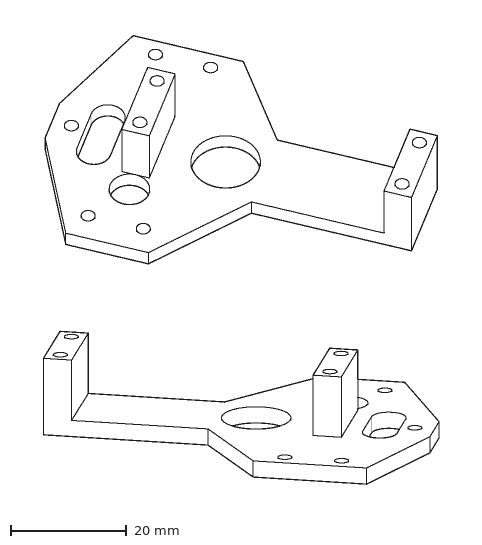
import cadquery as cq

length = 67.5
height = 14.0
plate_thickness = 3.0

upper_edge_y = 23.0
upper_edge_start_x = 7.5
upper_edge_end_x = 27.5
lower_edge_y = -23.95
lower_edge_start_x = 10.0
lower_edge_end_x = 25.0
blunt_end_upper_y = 4.25
blunt_end_lower_y = -4.05
arm_start_x = 38.5
arm_width = 15.0

post_thickness = 5.0
plate_post_x = 17.5
tip_post_x = length - post_thickness / 2

screw_diameter = 2.4
post_screw_spacing = 10.0
edge_screw_xs = (12.5, 22.5)
upper_screw_y = 20.0
lower_screw_y = -19.0
end_screw_x = 3.5

main_bore_diameter = 12.0
main_bore_x = 31.45
side_bore_diameter = 7.0
side_bore_y = -11.0
slot_x = 9.0
slot_width = 6.0
slot_upper_y = 6.6
slot_lower_y = -arm_width / 2


def make_plate():
    """Flat faceted plate with its narrow arm."""
    outline = [
        (0, blunt_end_lower_y),
        (lower_edge_start_x, lower_edge_y),
        (lower_edge_end_x, lower_edge_y),
        (arm_start_x, -arm_width / 2),
        (length, -arm_width / 2),
        (length, arm_width / 2),
        (arm_start_x, arm_width / 2),
        (upper_edge_end_x, upper_edge_y),
        (upper_edge_start_x, upper_edge_y),
        (0, blunt_end_upper_y),
    ]
    return cq.Workplane("XY").polyline(outline).close().extrude(plate_thickness)


def make_post(center_x):
    """Rectangular post rising from the plate underside to full height."""
    return cq.Workplane("XY").center(center_x, 0).rect(post_thickness, arm_width).extrude(height)


def make_hole_cutters(centers, diameter):
    """Cylinders reaching through the full height of the part."""
    return cq.Workplane("XY").pushPoints(centers).circle(diameter / 2).extrude(height)


def make_slot_cutter():
    """Round-ended slot running along Y."""
    center_y = (slot_upper_y + slot_lower_y) / 2
    slot_length = slot_upper_y - slot_lower_y
    return cq.Workplane("XY").center(slot_x, center_y).slot2D(slot_length, slot_width, 90).extrude(height)


edge_screws = [(x, y) for x in edge_screw_xs for y in (upper_screw_y, lower_screw_y)]
post_screws = [
    (x, side * post_screw_spacing / 2)
    for x in (plate_post_x, tip_post_x)
    for side in (-1, 1)
]
screw_centers = edge_screws + post_screws + [(end_screw_x, 0)]

body = make_plate().union(make_post(plate_post_x)).union(make_post(tip_post_x))
result = (
    body.cut(make_hole_cutters(screw_centers, screw_diameter))
    .cut(make_hole_cutters([(main_bore_x, 0)], main_bore_diameter))
    .cut(make_hole_cutters([(plate_post_x, side_bore_y)], side_bore_diameter))
    .cut(make_slot_cutter())
)